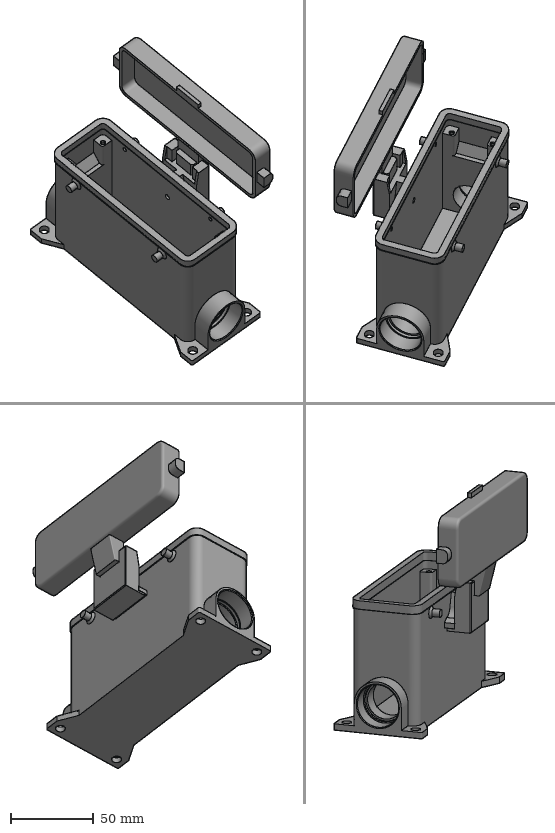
import cadquery as cq

OVERALL_LENGTH = 144.0
HOUSING_HEIGHT = 79.9
HOUSING_LENGTH = 121.0
HOUSING_WIDTH = 43.5
CORNER_RADIUS = 6.0
RIM_HEIGHT = 5.5
RIM_STEP = 0.6

MOUTH_LENGTH = 113.8
MOUTH_WIDTH = 36.0
MOUTH_RADIUS = 2.5
MOUTH_UNDERCUT = 0.3
FLOOR_THICKNESS = 3.6

POST_SIZE = 7.5
POST_TOP = 69.1
POST_EDGE_RADIUS = 1.5
POST_HOLE_DIAMETER = 2.0
POST_HOLE_COUNTERSINK = 0.6
POST_HOLE_DEPTH = 11.5
POST_HOLE_X = 51.8
POST_HOLE_Y = 13.2
PAD_LEDGE = 2.7
PAD_LEDGE_TOP = 51.8
PAD_WALL_TOP = 57.6

CONDUIT_RADIUS = 15.3
CONDUIT_Z = 17.9
CONDUIT_BORE_RADIUS = 13.4
CONDUIT_BORE_DEPTH = 10.7
SEAT_RADIUS = 12.5
SEAT_DEPTH = 12.7
CONDUIT_CHAMFER = 0.6
CABLE_HOLE_RADIUS = 11.4

FOOT_WIDTH = 57.2
FOOT_THICKNESS = 4.0
FOOT_CORNER = 1.0
FOOT_EDGE_X = 61.9
FOOT_TIP_X = 49.0
FOOT_HOLE_DIAMETER = 5.9
FOOT_HOLE_X = 66.0
FOOT_HOLE_Y = 22.3

PEG_X = 38.0
PEG_Z = 70.3
PEG_DIAMETER = 4.9
PEG_BASE_DIAMETER = 7.8
PEG_BASE_HEIGHT = 1.5
PEG_END_Y = 28.1
ROOT_OVERLAP = 1.5
WALL_DIMPLE_DIAMETER = 2.6
WALL_DIMPLE_DEPTH = 1.5
CENTRE_DIMPLE_DIAMETER = 3.5
CENTRE_DIMPLE_Z = 58.3

LUG_HALF_WIDTH = 14.8
LUG_BOTTOM = 54.5
LUG_TOP = 73.9
BRACKET_WIDTH = 30.2
BRACKET_BOTTOM = 52.7
BRACKET_TOP = 84.4
BRACKET_FRONT_Y = 28.4
BRACKET_BACK_Y = 39.2
BRACKET_TOP_FRONT_Y = 30.1
BRACKET_SHELF_Y = 23.6
BRACKET_CHAMFER = 0.6
CHEEK_RIB = 1.9
CHEEK_RECESS_Y = 30.5
PANEL_TOP = 83.5
PANEL_FRONT_Y = 31.7
PANEL_WIDTH = 15.1
PANEL_CHAMFER = 1.3

LID_LENGTH = 121.0
LID_HEIGHT = 43.8
LID_Z = 114.6
LID_OPEN_Y = 34.8
LID_BACK_Y = 47.8
LID_WALL = 2.5
LID_BACK_FILLET = 1.7
LID_INNER_RADIUS = 3.6
TAB_LENGTH = 19.3
TAB_THICKNESS = 2.5
TAB_TOP = 139.5
STUD_SPAN = 133.8
STUD_HEIGHT = 8.8
STUD_EDGE_RADIUS = 3.5
STUD_BACK_Y = 43.3
STUD_FLAT_Y = 36.0

ARM_WIDTH = 18.1
ARM_FRONT_Y = 35.5
ARM_BOTTOM = 75.0
ARM_BOTTOM_BACK_Y = 42.2
ARM_TOP_BACK_Y = 47.2
ARM_EDGE_RADIUS = 0.6

SIDES = (-1, 1)


def box(x_range, y_range, z_range):
    """Axis-aligned block between the given limits."""
    (x0, x1), (y0, y1), (z0, z1) = x_range, y_range, z_range
    return cq.Workplane("XY").box(x1 - x0, y1 - y0, z1 - z0, centered=False).translate((x0, y0, z0))


def upright_block(length, width, radius, bottom, top):
    """Block centred on the Z axis with rounded vertical edges."""
    block = cq.Workplane("XY").workplane(offset=bottom).rect(length, width).extrude(top - bottom)
    return block.edges("|Z").fillet(radius)


def rod_along_x(radius, z, x_start, x_end):
    """Cylinder along X at y = 0."""
    return cq.Workplane("YZ").workplane(offset=x_start).center(0, z).circle(radius).extrude(x_end - x_start)


def rod_along_y(radius, x, z, y_start, y_end):
    """Cylinder along Y."""
    return cq.Workplane(cq.Solid.makeCylinder(
        radius, abs(y_end - y_start), cq.Vector(x, y_start, z), cq.Vector(0, y_end - y_start, 0)))


def make_shell():
    """Outer walls with the wider rim band."""
    walls = upright_block(HOUSING_LENGTH, HOUSING_WIDTH, CORNER_RADIUS, 0, HOUSING_HEIGHT)
    rim = upright_block(HOUSING_LENGTH + 2 * RIM_STEP, HOUSING_WIDTH + 2 * RIM_STEP,
                        CORNER_RADIUS + RIM_STEP, HOUSING_HEIGHT - RIM_HEIGHT, HOUSING_HEIGHT)
    return walls.union(rim)


def make_foot():
    """Mounting foot at the -X end."""
    end_x = -OVERALL_LENGTH / 2
    half_width = FOOT_WIDTH / 2
    wall_y = HOUSING_WIDTH / 2
    foot = (cq.Workplane("XY")
            .moveTo(end_x, -half_width)
            .lineTo(-FOOT_EDGE_X, -half_width)
            .lineTo(-FOOT_TIP_X, -wall_y)
            .lineTo(-FOOT_TIP_X, wall_y)
            .lineTo(-FOOT_EDGE_X, half_width)
            .lineTo(end_x, half_width)
            .close()
            .extrude(FOOT_THICKNESS))
    foot = foot.edges("|Z and <X").fillet(FOOT_CORNER)
    holes = (cq.Workplane("XY")
             .pushPoints([(-FOOT_HOLE_X, side * FOOT_HOLE_Y) for side in SIDES])
             .circle(FOOT_HOLE_DIAMETER / 2)
             .extrude(FOOT_THICKNESS))
    return foot.cut(holes)


def make_conduit():
    """Round-topped conduit boss at the -X end, standing on the foot."""
    start = -OVERALL_LENGTH / 2
    end = -HOUSING_LENGTH / 2 + CORNER_RADIUS / 2
    pedestal = box((start, end), (-CONDUIT_RADIUS, CONDUIT_RADIUS), (0, CONDUIT_Z))
    return pedestal.union(rod_along_x(CONDUIT_RADIUS, CONDUIT_Z, start, end))


def make_conduit_bore():
    """Chamfered wide bore, seat and cable hole of the -X conduit."""
    start = -OVERALL_LENGTH / 2
    bore = rod_along_x(CONDUIT_BORE_RADIUS, CONDUIT_Z, start, start + CONDUIT_BORE_DEPTH)
    seat = rod_along_x(SEAT_RADIUS, CONDUIT_Z, start, start + SEAT_DEPTH)
    mouth = (cq.Workplane("YZ").workplane(offset=start).center(0, CONDUIT_Z)
             .circle(CONDUIT_BORE_RADIUS + CONDUIT_CHAMFER)
             .workplane(offset=CONDUIT_CHAMFER).circle(CONDUIT_BORE_RADIUS).loft())
    inner_end = -MOUTH_LENGTH / 2 + POST_SIZE
    cable_hole = rod_along_x(CABLE_HOLE_RADIUS, CONDUIT_Z, start, inner_end)
    return bore.union(mouth).union(seat).union(cable_hole)


def make_cavity():
    """Inside of the housing: the mouth and the slightly wider space below it."""
    rim_bottom = HOUSING_HEIGHT - RIM_HEIGHT
    mouth = upright_block(MOUTH_LENGTH, MOUTH_WIDTH, MOUTH_RADIUS, rim_bottom, HOUSING_HEIGHT)
    lower = upright_block(MOUTH_LENGTH + 2 * MOUTH_UNDERCUT, MOUTH_WIDTH + 2 * MOUTH_UNDERCUT,
                          MOUTH_RADIUS + MOUTH_UNDERCUT, FLOOR_THICKNESS, rim_bottom)
    return mouth.union(lower)


def make_posts():
    """Two screw posts and the sloped pad between them at the -X end of the cavity."""
    outer_x = -MOUTH_LENGTH / 2 - MOUTH_UNDERCUT
    inner_x = -MOUTH_LENGTH / 2 + POST_SIZE
    outer_y = MOUTH_WIDTH / 2 + MOUTH_UNDERCUT
    inner_y = MOUTH_WIDTH / 2 - POST_SIZE
    pad = (cq.Workplane("XZ")
           .moveTo(outer_x, 0)
           .lineTo(inner_x, 0)
           .lineTo(inner_x, PAD_LEDGE_TOP)
           .lineTo(inner_x - PAD_LEDGE, PAD_LEDGE_TOP)
           .lineTo(outer_x, PAD_WALL_TOP)
           .close()
           .extrude(outer_y, both=True))
    posts = pad
    for side in SIDES:
        y_limits = sorted((side * inner_y, side * outer_y))
        post = box((outer_x, inner_x), y_limits, (0, POST_TOP))
        inner_edge = "|Z and >X and " + ("<Y" if side > 0 else ">Y")
        posts = posts.union(post.edges(inner_edge).fillet(POST_EDGE_RADIUS))
    hole_radius = POST_HOLE_DIAMETER / 2
    for side in SIDES:
        centre = (-POST_HOLE_X, side * POST_HOLE_Y, POST_TOP)
        hole = cq.Workplane("XY", origin=centre).circle(hole_radius).extrude(-POST_HOLE_DEPTH)
        countersink = cq.Workplane(cq.Solid.makeCone(
            hole_radius + POST_HOLE_COUNTERSINK, hole_radius, POST_HOLE_COUNTERSINK,
            cq.Vector(*centre), cq.Vector(0, 0, -1)))
        posts = posts.cut(hole).cut(countersink)
    return posts.intersect(make_cavity())


def make_peg(x, side):
    """Locking peg with a conical base, pointing along side * Y."""
    wall_y = HOUSING_WIDTH / 2
    inside_y = wall_y - ROOT_OVERLAP
    peg = rod_along_y(PEG_DIAMETER / 2, x, PEG_Z, side * inside_y, side * PEG_END_Y)
    base = cq.Workplane(cq.Solid.makeCone(
        PEG_BASE_DIAMETER / 2, PEG_DIAMETER / 2, PEG_BASE_HEIGHT,
        cq.Vector(x, side * wall_y, PEG_Z), cq.Vector(0, side, 0)))
    return peg.union(base)


def make_lug():
    """Hinge lug: a tall middle flaring through concave curves into two low wings."""
    crest = (2.7, LUG_TOP)
    curve_top = (5.0, 65.7)
    curve_middle = (6.8, 61.9)
    curve_bottom = (10.8, 59.9)
    wing_tip = (LUG_HALF_WIDTH, 57.7)

    def mirrored(point):
        return (-point[0], point[1])

    start_y = HOUSING_WIDTH / 2 - ROOT_OVERLAP
    return (cq.Workplane("XZ", origin=(0, start_y, 0))
            .moveTo(LUG_HALF_WIDTH, LUG_BOTTOM)
            .lineTo(*wing_tip)
            .lineTo(*curve_bottom)
            .threePointArc(curve_middle, curve_top)
            .lineTo(*crest)
            .lineTo(*mirrored(crest))
            .lineTo(*mirrored(curve_top))
            .threePointArc(mirrored(curve_middle), mirrored(curve_bottom))
            .lineTo(*mirrored(wing_tip))
            .lineTo(-LUG_HALF_WIDTH, LUG_BOTTOM)
            .close()
            .extrude(start_y - BRACKET_FRONT_Y))


def make_bracket():
    """Hinge bracket: two cheeks, a low middle panel and a slot for the lid arm."""
    half_width = BRACKET_WIDTH / 2
    half_slot = ARM_WIDTH / 2
    bracket = (cq.Workplane("YZ")
               .moveTo(BRACKET_BACK_Y, BRACKET_BOTTOM)
               .lineTo(BRACKET_BACK_Y, BRACKET_TOP)
               .lineTo(BRACKET_TOP_FRONT_Y, BRACKET_TOP)
               .lineTo(BRACKET_FRONT_Y, LUG_TOP)
               .lineTo(BRACKET_FRONT_Y, LUG_BOTTOM)
               .lineTo(BRACKET_SHELF_Y, LUG_BOTTOM)
               .lineTo(BRACKET_SHELF_Y, BRACKET_BOTTOM)
               .close()
               .extrude(half_width, both=True))
    bracket = bracket.faces(">Y").edges().chamfer(BRACKET_CHAMFER)
    rib_inside = half_width - CHEEK_RIB
    recess = box((-rib_inside, rib_inside), (BRACKET_FRONT_Y, CHEEK_RECESS_Y), (LUG_TOP, BRACKET_TOP))
    opening = box((-half_slot, half_slot), (BRACKET_FRONT_Y, ARM_FRONT_Y), (LUG_TOP, BRACKET_TOP))
    panel = box((-PANEL_WIDTH / 2, PANEL_WIDTH / 2), (PANEL_FRONT_Y, ARM_FRONT_Y), (LUG_TOP, PANEL_TOP))
    panel = panel.edges("|Z and <Y").chamfer(PANEL_CHAMFER)
    arm_slot = box((-half_slot, half_slot), (ARM_FRONT_Y, BRACKET_BACK_Y), (ARM_BOTTOM, BRACKET_TOP))
    return bracket.cut(recess).cut(opening).union(panel).cut(arm_slot)


def make_housing():
    """Complete housing with its feet, conduits, posts, pegs and hinge bracket."""
    end_parts = make_foot().union(make_conduit())
    posts = make_posts()
    bore = make_conduit_bore()

    housing = make_shell()
    housing = housing.union(end_parts).union(end_parts.mirror("YZ"))
    housing = housing.cut(make_cavity())
    housing = housing.union(posts).union(posts.mirror("YZ"))
    housing = housing.cut(bore).cut(bore.mirror("YZ"))
    housing = housing.union(make_lug()).union(make_bracket())
    for side in SIDES:
        for x in (-PEG_X, PEG_X):
            housing = housing.union(make_peg(x, side))

    inner_wall_y = MOUTH_WIDTH / 2 + MOUTH_UNDERCUT
    dimple_end_y = inner_wall_y + WALL_DIMPLE_DEPTH
    for x, z, diameter in ((-PEG_X, PEG_Z, WALL_DIMPLE_DIAMETER),
                           (0, CENTRE_DIMPLE_Z, CENTRE_DIMPLE_DIAMETER),
                           (PEG_X, PEG_Z, WALL_DIMPLE_DIAMETER)):
        housing = housing.cut(rod_along_y(diameter / 2, x, z, inner_wall_y, dimple_end_y))
    return housing


def lid_block(length, height, radius, front_y, back_y):
    """Upright plate with rounded corners, centred on the lid."""
    block = (cq.Workplane("XZ", origin=(0, front_y, LID_Z))
             .rect(length, height).extrude(front_y - back_y))
    return block.edges("|Y").fillet(radius)


def make_lid():
    """Complete lid with its tab, end studs and hinge arm."""
    lid = lid_block(LID_LENGTH, LID_HEIGHT, CORNER_RADIUS, LID_OPEN_Y, LID_BACK_Y)
    lid = lid.faces(">Y").edges().fillet(LID_BACK_FILLET)

    lid_top = LID_Z + LID_HEIGHT / 2
    tab = box((-TAB_LENGTH / 2, TAB_LENGTH / 2), (LID_OPEN_Y, LID_OPEN_Y + TAB_THICKNESS),
              (lid_top - LID_WALL, TAB_TOP))

    stud = box((-STUD_SPAN / 2, STUD_SPAN / 2), (STUD_FLAT_Y, STUD_BACK_Y),
               (LID_Z - STUD_HEIGHT / 2, LID_Z + STUD_HEIGHT / 2))
    stud = stud.edges("|X and >Y").fillet(STUD_EDGE_RADIUS)

    arm_top = LID_Z - LID_HEIGHT / 2 + LID_WALL
    arm = (cq.Workplane("YZ")
           .moveTo(ARM_FRONT_Y, ARM_BOTTOM)
           .lineTo(ARM_BOTTOM_BACK_Y, ARM_BOTTOM)
           .lineTo(ARM_TOP_BACK_Y, arm_top)
           .lineTo(ARM_FRONT_Y, arm_top)
           .close()
           .extrude(ARM_WIDTH / 2, both=True))
    arm = arm.faces(">Y").edges("not |X").fillet(ARM_EDGE_RADIUS)

    recess = lid_block(LID_LENGTH - 2 * LID_WALL, LID_HEIGHT - 2 * LID_WALL, LID_INNER_RADIUS,
                       LID_OPEN_Y, LID_BACK_Y - LID_WALL)
    return lid.union(tab).union(stud).union(arm).cut(recess)


housing = make_housing()
lid = make_lid()
result = cq.Compound.makeCompound([housing.val(), lid.val()])